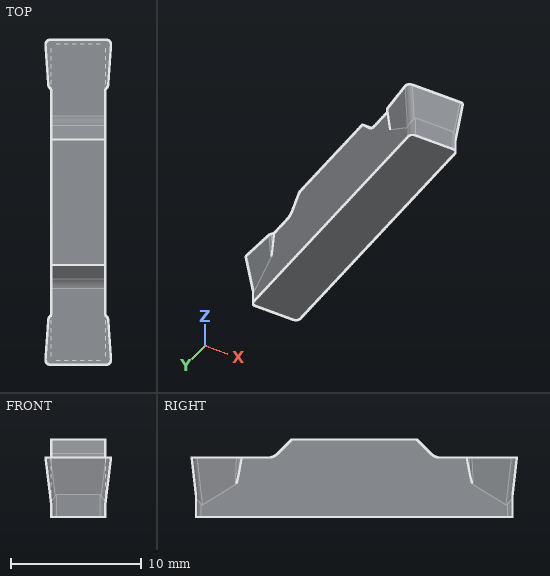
import cadquery as cq
import math


body_width = 4.16
total_length = 24.98
total_height = 5.97
head_height = 4.58
end_relief = 0.326
body_length = total_length - 2 * end_relief
corner_radius = 0.4

ramp_angle = 45.0
plateau_length = 9.6
ramp_radius = 1.0

head_width = 5.055
clearance_angle = 6.5
side_angle = 4.0
side_length = 3.57
shoulder_angle = 38.0
shoulder_radius = 0.4
root_half_width = 1.0


def make_body():
    """Prism with a raised, ramped middle and rounded vertical corners."""
    half_length = body_length / 2
    half_plateau = plateau_length / 2
    ramp_run = (total_height - head_height) / math.tan(math.radians(ramp_angle))
    ramp_foot = half_plateau + ramp_run
    body = (
        cq.Workplane("YZ")
        .moveTo(-half_length, 0)
        .lineTo(half_length, 0)
        .lineTo(half_length, head_height)
        .lineTo(ramp_foot, head_height)
        .lineTo(half_plateau, total_height)
        .lineTo(-half_plateau, total_height)
        .lineTo(-ramp_foot, head_height)
        .lineTo(-half_length, head_height)
        .close()
        .extrude(body_width / 2, both=True)
    )
    body = body.edges("|Z").fillet(corner_radius)
    for side in (-1, 1):
        foot_point = (0, side * ramp_foot, head_height)
        body = body.edges(cq.selectors.NearestToPointSelector(foot_point)).fillet(ramp_radius)
    return body


def make_head():
    """Head at the +Y end, drafted downward from its flat top face."""
    side_tilt = math.radians(side_angle)
    tangent_setback = corner_radius * (1 - math.sin(side_tilt)) / math.cos(side_tilt)
    corner_half_width = head_width / 2 + tangent_setback * math.sin(side_tilt)
    shoulder_half_width = corner_half_width - side_length * math.tan(side_tilt)
    edge_y = total_length / 2
    shoulder_y = edge_y - side_length
    shoulder_run = (shoulder_half_width - root_half_width) / math.tan(math.radians(shoulder_angle))
    root_y = shoulder_y - shoulder_run
    head = (
        cq.Workplane("XY", origin=(0, 0, head_height))
        .moveTo(corner_half_width, edge_y)
        .lineTo(shoulder_half_width, shoulder_y)
        .lineTo(root_half_width, root_y)
        .lineTo(-root_half_width, root_y)
        .lineTo(-shoulder_half_width, shoulder_y)
        .lineTo(-corner_half_width, edge_y)
        .close()
        .extrude(-head_height, taper=clearance_angle)
    )
    mid_height = head_height / 2
    mid_inset = mid_height * math.tan(math.radians(clearance_angle))
    rounded_edges = (
        (corner_half_width, edge_y, corner_radius),
        (shoulder_half_width, shoulder_y, shoulder_radius),
    )
    for half_width, y, radius in rounded_edges:
        for side in (-1, 1):
            edge_point = (side * (half_width - mid_inset), y - mid_inset, mid_height)
            head = head.edges(cq.selectors.NearestToPointSelector(edge_point)).fillet(radius)
    return head


head = make_head()
opposite_head = head.mirror("XZ")
result = make_body().union(head).union(opposite_head)